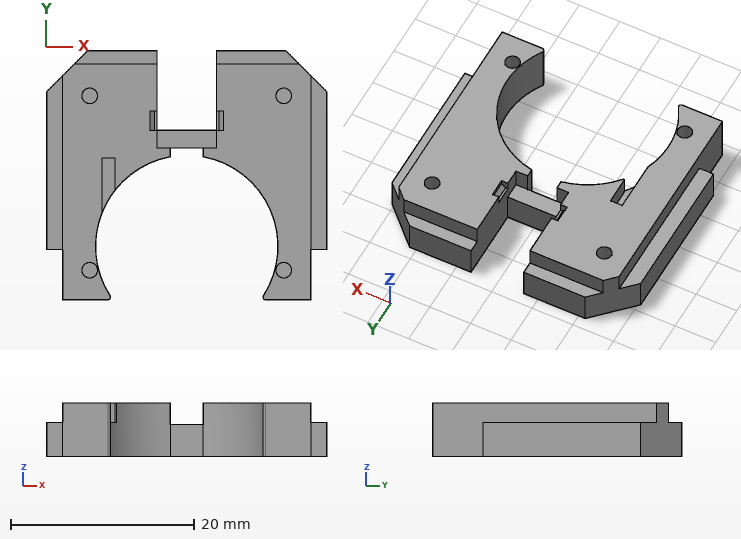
import cadquery as cq

overall_width = 30.62
overall_length = 27.23
thickness = 5.89
front_y = -5.84
back_y = front_y + overall_length

block_width = 27.12
flange_height = 3.75
back_flange_depth = 1.46
side_flange_length = 21.75
corner_chamfer = 4.5

bore_radius = 9.95
lip_radius = 0.3

slot_width = 6.48
bridge_height = 3.53
bridge_length = 1.96
bridge_front_y = 10.75
bridge_back_y = bridge_front_y + bridge_length
neck_width = 3.6

pocket_depth = 0.78
pocket_length = 2.15
pocket_front_y = 12.66
pocket_floor_drop = 0.97
pocket_wall_drop = 0.5
pocket_ledge = 0.28

groove_left_x = -9.27
groove_right_x = -7.83
groove_back_y = 9.67
groove_corner_width = 0.2
groove_corner_y = 6.33

pin_diameter = 1.7
pin_depth = 4.0
pin_spacing_x = 21.2
pin_spacing_y = 19.05
pin_front_y = -2.6


def box(x_min, x_max, y_min, y_max, z_min, z_max):
    """Axis-aligned box given by its limits."""
    size = (x_max - x_min, y_max - y_min, z_max - z_min)
    return cq.Workplane("XY").box(*size, centered=False).translate((x_min, y_min, z_min))


def centered_box(width, y_min, y_max, z_min, z_max):
    """Box symmetric about the YZ plane."""
    return box(-width / 2, width / 2, y_min, y_max, z_min, z_max)


def make_body():
    """Stepped block with its two back corners cut at 45 degrees."""
    flange = centered_box(overall_width, back_y - side_flange_length, back_y, 0, flange_height)
    block = centered_box(block_width, front_y, back_y - back_flange_depth, 0, thickness)
    half_width = overall_width / 2
    envelope = (
        cq.Workplane("XY")
        .polyline([
            (-half_width, front_y),
            (half_width, front_y),
            (half_width, back_y - corner_chamfer),
            (half_width - corner_chamfer, back_y),
            (-half_width + corner_chamfer, back_y),
            (-half_width, back_y - corner_chamfer),
        ])
        .close()
        .extrude(thickness)
    )
    return flange.union(block).intersect(envelope)


def cut_bore(body):
    """Cut the bore through the front edge and round the two lips it leaves."""
    bored = body.cut(cq.Workplane("XY").circle(bore_radius).extrude(thickness))
    lip_x = (bore_radius**2 - front_y**2) ** 0.5
    for side in (-1, 1):
        lip_edge = cq.selectors.NearestToPointSelector((side * lip_x, front_y, thickness / 2))
        bored = bored.edges("|Z").edges(lip_edge).fillet(lip_radius)
    return bored


def cut_slot(body):
    """Open the back slot and the neck, leaving the low bridge between them."""
    slot = centered_box(slot_width, bridge_back_y, back_y, 0, thickness)
    above_bridge = centered_box(slot_width, bridge_front_y, bridge_back_y, bridge_height, thickness)
    neck = centered_box(neck_width, 0, bridge_front_y, 0, thickness)
    return body.cut(slot).cut(above_bridge).cut(neck)


def cut_pockets(body):
    """Cut the matching catch pockets in both slot walls."""
    wall_x = slot_width / 2
    floor_z = thickness - pocket_floor_drop
    pocket = (
        cq.Workplane("XZ", origin=(0, pocket_front_y, 0))
        .polyline([
            (wall_x, thickness),
            (wall_x, floor_z),
            (wall_x + pocket_ledge, floor_z),
            (wall_x + pocket_depth, thickness - pocket_wall_drop),
            (wall_x + pocket_depth, thickness),
        ])
        .close()
        .extrude(-pocket_length)
    )
    return body.cut(pocket).cut(pocket.mirror("YZ"))


def cut_groove(body):
    """Cut the relief groove, which opens into the bore, and trim its corner."""
    groove = box(groove_left_x, groove_right_x, 0, groove_back_y, flange_height, thickness)
    corner_x = groove_right_x + groove_corner_width
    corner = box(groove_right_x, corner_x, 0, groove_corner_y, flange_height, thickness)
    return body.cut(groove).cut(corner)


def cut_pin_holes(body):
    """Drill the four blind pin holes from the top face."""
    pins = (
        cq.Workplane("XY", origin=(0, pin_front_y + pin_spacing_y / 2, thickness - pin_depth))
        .rarray(pin_spacing_x, pin_spacing_y, 2, 2)
        .circle(pin_diameter / 2)
        .extrude(pin_depth)
    )
    return body.cut(pins)


body = make_body()
body = cut_bore(body)
body = cut_slot(body)
body = cut_pockets(body)
body = cut_groove(body)
result = cut_pin_holes(body)